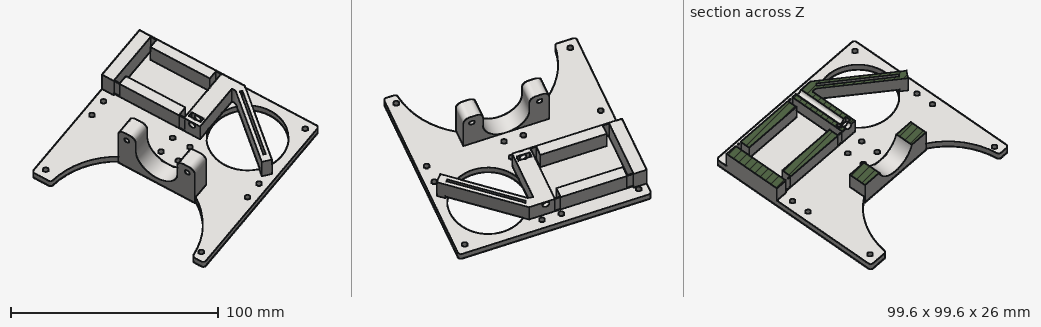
import cadquery as cq
import math

PLATE_SIZE = 99.6
PLATE_THICKNESS = 4.0
CORNER_RADIUS = 1.5
PLATE_EDGE = PLATE_SIZE / 2

SCREW_DIAMETER = 2.8
SCREW_INNER = 5.0
SCREW_OUTER = 45.0

FAN_OPENING_DIAMETER = 39.45
FAN_CENTER = (SCREW_INNER + SCREW_OUTER) / 2

BRACKET_CENTER_X = 2.1
CUTOUT_RADIUS = 41.0
CUTOUT_CENTER_Y = -53.3

BRACKET_WIDTH = 44.3
BRACKET_HEIGHT = 26.0
BRACKET_DEPTH = 10.0
BRACKET_FRONT_Y = -19.5
CRADLE_RADIUS = 12.0
CRADLE_CENTER_Z = PLATE_THICKNESS + CRADLE_RADIUS
LUG_FILLET = 3.5
LUG_HOLE_SPACING = 35.0
LUG_HOLE_CENTER_X = 2.3
LUG_HOLE_Z = 21.0

BLOCK_TOP = 15.3
BLOCK_HEIGHT = BLOCK_TOP - PLATE_THICKNESS
BLOCK_FRONT_Y = 10.8
BLOCK_BACK_Y = 43.4
BLOCK_RIGHT_X = 7.0

POCKET_WALL = 0.5
POCKET_LEFT_X = -43.0
POCKET_RIGHT_X = -2.3
POCKET_FRONT_Y = BLOCK_FRONT_Y + POCKET_WALL
POCKET_BACK_Y = BLOCK_BACK_Y - POCKET_WALL
PAD_LEFT_X = -39.7
PAD_RIGHT_X = -5.3
PAD_DEPTH = 5.2

BOLT_DIAMETER = 3.5
BOLT_X = 2.3
BOLT_Z = 13.1
NUT_WIDTH = 6.8
NUT_THICKNESS = 2.6
NUT_CENTER_Y = 14.5
NUT_TRAP_DEPTH = BLOCK_TOP - BOLT_Z + NUT_WIDTH / 2

ARM_ANGLE = -40.0
ARM_START = (11.1, BLOCK_BACK_Y)
ARM_LENGTH = 46.8
ARM_WIDTH = 5.1
ARM_ROOT_DEPTH = 5.0
ARM_ROOT_FILLET = 2.5
ARM_FOOT_LENGTH = 4.2
ARM_SLOT_LENGTH = 40.0
ARM_SLOT_WIDTH = 1.2

GAP_HEIGHT = 1.2


def box(x_min, x_max, y_min, y_max, z_min, z_max):
    """Axis-aligned box between the given limits."""
    size = (x_max - x_min, y_max - y_min, z_max - z_min)
    return cq.Workplane("XY").box(*size, centered=False).translate((x_min, y_min, z_min))


def bore_along_y(diameter, x, z, y_min, y_max):
    """Cylinder parallel to Y."""
    return (
        cq.Workplane("XZ", origin=(x, y_max, z))
        .circle(diameter / 2)
        .extrude(y_max - y_min)
    )


def arm_point(along, across):
    """Plan position at a distance along the arm and across it, from its back edge toward -Y."""
    angle = math.radians(ARM_ANGLE)
    x = ARM_START[0] + along * math.cos(angle) + across * math.sin(angle)
    y = ARM_START[1] + along * math.sin(angle) - across * math.cos(angle)
    return (x, y)


def arm_box(along_min, along_max, across_min, across_max, z_min, z_max):
    """Box aligned with the arm."""
    corners = [
        arm_point(along_min, across_min),
        arm_point(along_max, across_min),
        arm_point(along_max, across_max),
        arm_point(along_min, across_max),
    ]
    return cq.Workplane("XY", origin=(0, 0, z_min)).polyline(corners).close().extrude(z_max - z_min)


def make_plate():
    blank = cq.Workplane("XY").rect(PLATE_SIZE, PLATE_SIZE).extrude(PLATE_THICKNESS)
    cutout = (
        cq.Workplane("XY")
        .center(BRACKET_CENTER_X, CUTOUT_CENTER_Y)
        .circle(CUTOUT_RADIUS)
        .extrude(PLATE_THICKNESS)
    )
    opening = (
        cq.Workplane("XY")
        .center(FAN_CENTER, FAN_CENTER)
        .circle(FAN_OPENING_DIAMETER / 2)
        .extrude(PLATE_THICKNESS)
    )
    return blank.cut(cutout).edges("|Z").fillet(CORNER_RADIUS).cut(opening)


def make_screw_holes():
    rows = (-SCREW_OUTER, -SCREW_INNER, SCREW_INNER, SCREW_OUTER)
    points = [(x, y) for x in rows for y in rows if y > -SCREW_OUTER or abs(x) == SCREW_OUTER]
    return cq.Workplane("XY").pushPoints(points).circle(SCREW_DIAMETER / 2).extrude(PLATE_THICKNESS)


def make_bracket():
    back_y = BRACKET_FRONT_Y + BRACKET_DEPTH
    half_width = BRACKET_WIDTH / 2
    body = box(
        BRACKET_CENTER_X - half_width, BRACKET_CENTER_X + half_width,
        BRACKET_FRONT_Y, back_y, 0, BRACKET_HEIGHT,
    )
    cradle = bore_along_y(
        2 * CRADLE_RADIUS, BRACKET_CENTER_X, CRADLE_CENTER_Z, BRACKET_FRONT_Y, back_y
    )
    throat = box(
        BRACKET_CENTER_X - CRADLE_RADIUS, BRACKET_CENTER_X + CRADLE_RADIUS,
        BRACKET_FRONT_Y, back_y, CRADLE_CENTER_Z, BRACKET_HEIGHT,
    )
    bracket = body.cut(cradle).cut(throat)
    bracket = bracket.faces(">Z").edges("|Y").fillet(LUG_FILLET)
    for side in (-1, 1):
        hole_x = LUG_HOLE_CENTER_X + side * LUG_HOLE_SPACING / 2
        bracket = bracket.cut(bore_along_y(SCREW_DIAMETER, hole_x, LUG_HOLE_Z, BRACKET_FRONT_Y, back_y))
    return bracket


def make_block_body():
    """Solid block joined to the diagonal arm by a short root."""
    body = box(-PLATE_EDGE, BLOCK_RIGHT_X, BLOCK_FRONT_Y, BLOCK_BACK_Y, PLATE_THICKNESS, BLOCK_TOP)
    root_front_y = BLOCK_BACK_Y - ARM_ROOT_DEPTH
    inner_corner = arm_point(0, ARM_WIDTH)
    slope = math.tan(math.radians(ARM_ANGLE))
    root_end_x = inner_corner[0] + (root_front_y - inner_corner[1]) / slope
    root = (
        cq.Workplane("XY", origin=(0, 0, PLATE_THICKNESS))
        .moveTo(BLOCK_RIGHT_X, BLOCK_BACK_Y)
        .lineTo(*ARM_START)
        .lineTo(*inner_corner)
        .lineTo(root_end_x, root_front_y)
        .lineTo(BLOCK_RIGHT_X, root_front_y)
        .close()
        .extrude(BLOCK_HEIGHT)
    )
    arm = arm_box(0, ARM_LENGTH, 0, ARM_WIDTH, PLATE_THICKNESS, BLOCK_TOP)
    joined = body.union(root).union(arm)
    block_middle_z = (PLATE_THICKNESS + BLOCK_TOP) / 2
    inner_edge = cq.selectors.NearestToPointSelector((root_end_x, root_front_y, block_middle_z))
    return joined.edges("|Z").edges(inner_edge).fillet(ARM_ROOT_FILLET)


def make_pocket():
    pocket = box(
        POCKET_LEFT_X, POCKET_RIGHT_X, POCKET_FRONT_Y, POCKET_BACK_Y, PLATE_THICKNESS, BLOCK_TOP
    )
    for y_min, y_max in (
        (POCKET_FRONT_Y, POCKET_FRONT_Y + PAD_DEPTH),
        (POCKET_BACK_Y - PAD_DEPTH, POCKET_BACK_Y),
    ):
        pocket = pocket.cut(box(PAD_LEFT_X, PAD_RIGHT_X, y_min, y_max, PLATE_THICKNESS, BLOCK_TOP))
    return pocket


def make_nut_trap():
    return box(
        BOLT_X - NUT_WIDTH / 2, BOLT_X + NUT_WIDTH / 2,
        NUT_CENTER_Y - NUT_THICKNESS / 2, NUT_CENTER_Y + NUT_THICKNESS / 2,
        BLOCK_TOP - NUT_TRAP_DEPTH, BLOCK_TOP,
    )


def make_gap():
    """Clearance under the block and the arm, ending at the arm's foot."""
    gap_top = PLATE_THICKNESS + GAP_HEIGHT
    under_block = box(
        POCKET_LEFT_X, ARM_START[0], BLOCK_FRONT_Y, BLOCK_BACK_Y, PLATE_THICKNESS, gap_top
    )
    under_arm = arm_box(0, ARM_LENGTH - ARM_FOOT_LENGTH, 0, ARM_WIDTH, PLATE_THICKNESS, gap_top)
    return under_block.union(under_arm)


def make_block():
    slot_end = ARM_LENGTH - ARM_FOOT_LENGTH
    slot_side = (ARM_WIDTH - ARM_SLOT_WIDTH) / 2
    arm_slot = arm_box(
        slot_end - ARM_SLOT_LENGTH, slot_end,
        slot_side, slot_side + ARM_SLOT_WIDTH, PLATE_THICKNESS, BLOCK_TOP,
    )
    bolt_bore = bore_along_y(BOLT_DIAMETER, BOLT_X, BOLT_Z, BLOCK_FRONT_Y, BLOCK_BACK_Y)
    block = make_block_body()
    for cut in (make_pocket(), make_gap(), arm_slot, bolt_bore, make_nut_trap()):
        block = block.cut(cut)
    return block


plate = make_plate().cut(make_screw_holes())
result = plate.union(make_bracket()).union(make_block())